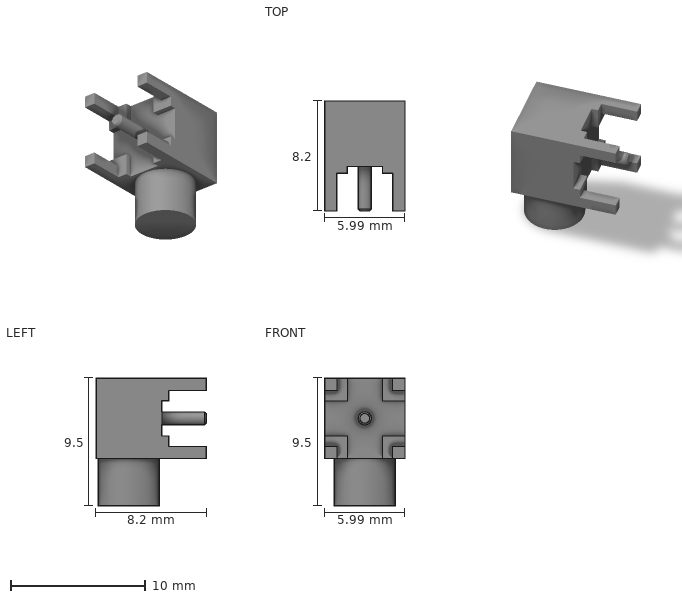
import cadquery as cq

body_side = 5.99
body_depth = 4.89
total_depth = 8.2
total_height = 9.5

standoff_side = 1.69
standoff_height = 0.51
leg_side = 0.92

pin_diameter = 0.98
pin_chamfer_length = 0.15
pin_chamfer_inset = 0.13

barrel_diameter = 4.57
barrel_axis_from_back = 2.42

half_side = body_side / 2
back_y = barrel_axis_from_back
mount_face_y = back_y - body_depth
leg_length = total_depth - body_depth
barrel_length = total_height - body_side


def corner_block(side, length, x_sign, z_sign):
    """Square post flush with one housing corner, standing out toward -Y."""
    offset = half_side - side / 2
    return (
        cq.Workplane("XZ", origin=(x_sign * offset, mount_face_y, z_sign * offset))
        .rect(side, side)
        .extrude(length)
    )


def make_housing():
    return (
        cq.Workplane("XZ", origin=(0, back_y, 0))
        .rect(body_side, body_side)
        .extrude(body_depth)
    )


def make_barrel():
    return (
        cq.Workplane("XY", origin=(0, 0, -half_side))
        .circle(barrel_diameter / 2)
        .extrude(-barrel_length)
    )


def make_pin():
    return (
        cq.Workplane("XZ", origin=(0, mount_face_y, 0))
        .circle(pin_diameter / 2)
        .extrude(leg_length)
        .faces("<Y")
        .chamfer(pin_chamfer_length, pin_chamfer_inset)
    )


result = make_housing().union(make_barrel()).union(make_pin())
for x_sign in (-1, 1):
    for z_sign in (-1, 1):
        result = result.union(corner_block(standoff_side, standoff_height, x_sign, z_sign))
        result = result.union(corner_block(leg_side, leg_length, x_sign, z_sign))